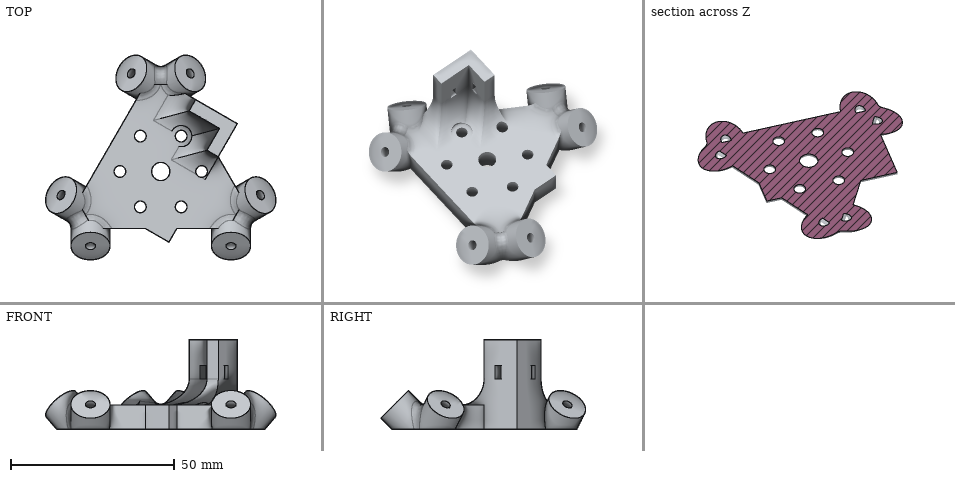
import cadquery as cq
import math

plate_thickness = 7.5
plate_inradius = 17.5
plate_corner_reach = 26.6

bracket_turn = -30.0
wall_thickness = 4.0
wall_top = 27.5
wall_outer_u = 13.0
wall_outer_v = 24.4
leg_end_u = -1.75
leg_end_v = 12.7
flare_radius = 8.0
wall_inner_u = wall_outer_u - wall_thickness
wall_inner_v = wall_outer_v - wall_thickness
flare_top = plate_thickness + flare_radius

slot_width = 2.1
slot_height = 4.0
slot_centre_u = 3.1
slot_centre_v = 17.7

boss_diameter = 12.0
boss_tilt = 45.0
boss_half_spacing = 21.5
boss_face_reach = 22.83
boss_face_height = 7.66
boss_length = 25.0
boss_hole_diameter = 3.0
boss_hole_depth = 10.0
boss_fillet = 2.5

centre_hole_diameter = 5.5
ring_hole_diameter = 3.5
ring_radius = 12.5
ring_count = 6
head_recess_diameter = 6.5
head_recess_angle = 60.0

side_count = 3
corner_turn = 30.0
clearance = 60.0
side_pitch = 360.0 / side_count


def turned(solid, angle):
    return solid.rotate((0, 0, 0), (0, 0, 1), angle)


def box_between(u_range, v_range, z_range):
    """Box spanning three (low, high) ranges."""
    low, high = zip(u_range, v_range, z_range)
    size = [b - a for a, b in zip(low, high)]
    return cq.Workplane("XY").box(*size, centered=False).translate(low)


def triangle_prism(inradius, first_corner, height):
    """Equilateral prism on Z = 0 with one corner at the given angle about Z."""
    prism = cq.Workplane("XY").polygon(side_count, 4 * inradius).extrude(height)
    return turned(prism, first_corner)


def plate_prism(height):
    """Plate outline: a triangle with a flat side toward -Y and trimmed corners."""
    triangle = triangle_prism(plate_inradius, 90, height)
    return triangle.intersect(triangle_prism(plate_corner_reach, -90, height))


def tilted_cylinder(diameter, inward_length, outward_length=0.0):
    """Cylinder along the axis of the -Y, +X boss, measured both ways from its end face."""
    tilt = math.radians(boss_tilt)
    inward = cq.Vector(0, math.cos(tilt), -math.sin(tilt))
    face_centre = cq.Vector(boss_half_spacing, -boss_face_reach, boss_face_height)
    start = face_centre - inward * outward_length
    cylinder = cq.Solid.makeCylinder(diameter / 2, inward_length + outward_length, start, inward)
    return cq.Workplane(cylinder)


def at_each_corner(solid):
    return [turned(solid, i * side_pitch) for i in range(side_count)]


def corner_mirrored(solid):
    """Mirror across the vertical plane through the plate's lower right corner."""
    return turned(turned(solid, corner_turn).mirror("XZ"), -corner_turn)


def skirted_plate():
    """Plate with the inner part of each boss, blended into its top face."""
    long_boss = tilted_cylinder(boss_diameter, boss_length, clearance)
    slab = cq.Workplane("XY").circle(clearance).extrude(plate_thickness)
    joined = slab.union(long_boss)
    ring = cq.selectors.BoxSelector(
        (0, -clearance, plate_thickness - 0.01), (clearance - 1, 0, plate_thickness + 0.01), boundingbox=True
    )
    skirt = joined.edges(ring).fillet(boss_fillet).intersect(plate_prism(wall_top))
    body = plate_prism(plate_thickness)
    for s in (skirt, corner_mirrored(skirt)):
        for copy in at_each_corner(s):
            body = body.union(copy)
    return body


def boss_pair():
    """The parts of two neighbouring bosses outside the plate, with a blended valley between them."""
    boss = tilted_cylinder(boss_diameter, boss_length)
    plate_column = plate_prism(2 * clearance).translate((0, 0, -clearance))
    pair = boss.union(corner_mirrored(boss)).cut(plate_column)
    valley = cq.selectors.BoxSelector(
        (0, -0.01, -clearance), (clearance, 0.01, clearance), boundingbox=True
    )
    pair = turned(pair, corner_turn).edges(valley).fillet(boss_fillet)
    above_bottom = box_between((0, clearance), (-clearance, clearance), (0, clearance))
    return turned(pair.intersect(above_bottom), -corner_turn)


def bracket_block():
    """Rectangular stretch of the plate, in bracket axes, that carries the wall."""
    return box_between(
        (leg_end_u - flare_radius, wall_outer_u), (-plate_inradius, wall_outer_v), (0, plate_thickness)
    )


def flare_profile(plane, face, outer_face):
    """Wall cross-section swept to both sides: plain outer face, flared foot below the inner face."""
    flare_tip = face - flare_radius
    drop = flare_radius * math.sqrt(0.5)
    arc_middle = (flare_tip + drop, flare_top - drop)
    return (
        cq.Workplane(plane)
        .moveTo(outer_face, 0)
        .lineTo(outer_face, wall_top)
        .lineTo(face, wall_top)
        .lineTo(face, flare_top)
        .threePointArc(arc_middle, (flare_tip, plate_thickness))
        .lineTo(flare_tip, 0)
        .close()
        .extrude(clearance, both=True)
    )


def flared_leg(face_u, face_v):
    """One leg of the wall, whose two flares meet in a mitre."""
    return flare_profile("XZ", face_u, wall_outer_u).intersect(flare_profile("YZ", face_v, wall_outer_v))


def bracket():
    leg_along_u = flared_leg(leg_end_u, wall_inner_v)
    leg_along_v = flared_leg(wall_inner_u, leg_end_v)
    slot_z = (flare_top, flare_top + slot_height)
    u_slot = (slot_centre_u - slot_width / 2, slot_centre_u + slot_width / 2)
    v_slot = (slot_centre_v - slot_width / 2, slot_centre_v + slot_width / 2)
    body = bracket_block().union(leg_along_u).union(leg_along_v)
    body = body.cut(box_between(u_slot, (wall_inner_v, wall_outer_v), slot_z))
    body = body.cut(box_between((wall_inner_u, wall_outer_u), v_slot, slot_z))
    return turned(body, bracket_turn)


def upright_cylinder(diameter, radius, angle, bottom):
    """Vertical cutter at a polar position, from the bottom height to the top of the part."""
    cutter = cq.Workplane("XY").center(radius, 0).circle(diameter / 2).extrude(wall_top - bottom)
    return turned(cutter.translate((0, 0, bottom)), angle)


def plate_holes():
    """Centre hole, ring of screw holes and the screw-head recess in the flare."""
    cutters = upright_cylinder(centre_hole_diameter, 0, 0, 0)
    for i in range(ring_count):
        cutters = cutters.union(upright_cylinder(ring_hole_diameter, ring_radius, i * 360 / ring_count, 0))
    recess = upright_cylinder(head_recess_diameter, ring_radius, head_recess_angle, plate_thickness)
    return cutters.union(recess)


def build_part():
    body = skirted_plate()
    for pair in at_each_corner(boss_pair()):
        body = body.union(pair)
    body = body.union(bracket()).cut(plate_holes())
    boss_hole = tilted_cylinder(boss_hole_diameter, boss_hole_depth)
    for hole in (boss_hole, corner_mirrored(boss_hole)):
        for copy in at_each_corner(hole):
            body = body.cut(copy)
    return body


result = build_part()